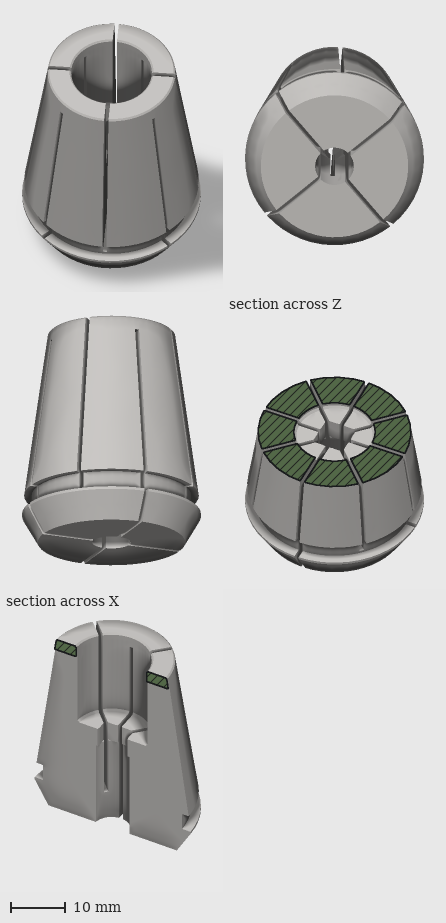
import cadquery as cq
import math

total_height = 40.0
nose_height = 5.0
flange_top = 5.5
groove_top = 9.0
axis_slot_top = 37.5
diagonal_slot_bottom = 6.0

flange_radius = 16.4
nose_angle = math.radians(30)
groove_radius = 14.65
cone_base_radius = 16.02
cone_angle = math.radians(8)
top_chamfer = 0.3

shank_radius = 3.55
shank_depth = 18.0
square_width = 6.05
square_pilot_radius = 3.15
bore_radius = 7.4
bore_floor_height = 22.0
bore_floor_bevel = 0.4
bore_mouth_chamfer = 0.3

slot_width = 0.8
slot_length = 2.5 * flange_radius


def outer_body():
    """Revolve the nose cone, flange, groove and long taper."""
    nose_radius = flange_radius - nose_height * math.tan(nose_angle)
    chamfer_start = total_height - top_chamfer
    taper_top_radius = cone_base_radius - (chamfer_start - groove_top) * math.tan(cone_angle)
    profile = [
        (0, 0),
        (nose_radius, 0),
        (flange_radius, nose_height),
        (flange_radius, flange_top),
        (groove_radius, flange_top),
        (groove_radius, groove_top),
        (cone_base_radius, groove_top),
        (taper_top_radius, chamfer_start),
        (taper_top_radius - top_chamfer, total_height),
        (0, total_height),
    ]
    return cq.Workplane("XZ").polyline(profile).close().revolve(360, (0, 0), (0, 1))


def shank_hole():
    """Round hole that grips the tool shank, open at the bottom."""
    return cq.Workplane("XY").circle(shank_radius).extrude(shank_depth)


def square_hole():
    """Square drive above the shank hole, with its round pilot hole."""
    length = bore_floor_height - shank_depth
    base = cq.Workplane("XY").workplane(offset=shank_depth)
    pilot = base.circle(square_pilot_radius).extrude(length)
    return base.rect(square_width, square_width).extrude(length).union(pilot)


def upper_bore():
    """Wide bore from the top, bevelled at its floor and chamfered at its mouth."""
    profile = [
        (0, bore_floor_height),
        (bore_radius - bore_floor_bevel, bore_floor_height),
        (bore_radius, bore_floor_height + bore_floor_bevel),
        (bore_radius, total_height - bore_mouth_chamfer),
        (bore_radius + bore_mouth_chamfer, total_height),
        (0, total_height),
    ]
    return cq.Workplane("XZ").polyline(profile).close().revolve(360, (0, 0), (0, 1))


def slot(angle, bottom, top):
    """Thin slot right across the part in the plane at the given angle from X."""
    blade = cq.Workplane("XY").rect(slot_length, slot_width).extrude(top - bottom)
    return blade.translate((0, 0, bottom)).rotate((0, 0, 0), (0, 0, 1), angle)


result = outer_body().cut(shank_hole()).cut(square_hole()).cut(upper_bore())

for axis_angle in (0, 90):
    result = result.cut(slot(axis_angle, 0, axis_slot_top))

for diagonal_angle in (45, 135):
    result = result.cut(slot(diagonal_angle, diagonal_slot_bottom, total_height))